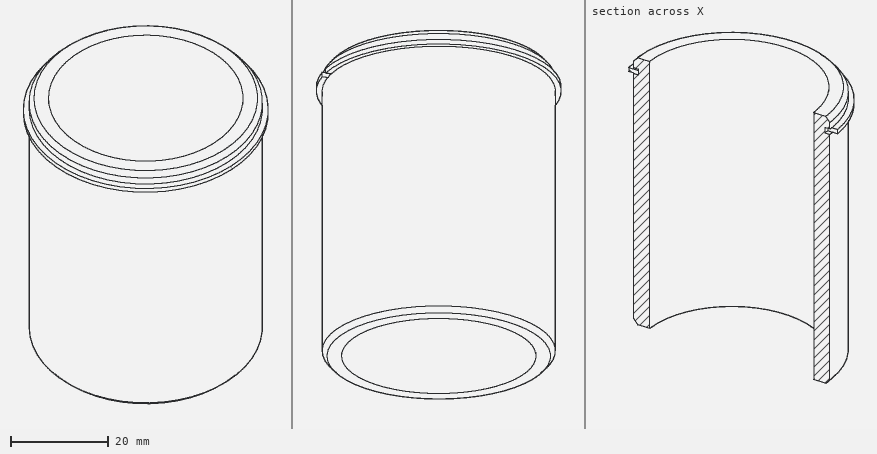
import cadquery as cq

sleeve_length = 63.0
sleeve_diameter = 48.0
bore_diameter = 40.0
chamfer_width = 1.0
chamfer_height = 1.15

ring_diameter = 50.4
ring_thickness = 1.0
ring_bottom = 59.0
ring_gap = 2.0

groove_clearance = 0.2
groove_width = ring_thickness + groove_clearance
groove_depth = (ring_diameter - sleeve_diameter) / 2
groove_diameter = sleeve_diameter - 2 * groove_depth


def annulus(outer_diameter, inner_diameter, bottom, height):
    """Flat-ended ring around the Z axis."""
    return (
        cq.Workplane("XY", origin=(0, 0, bottom))
        .circle(outer_diameter / 2)
        .circle(inner_diameter / 2)
        .extrude(height)
    )


def make_sleeve():
    """Tube with chamfered outer ends and a groove for the snap ring."""
    inner = bore_diameter / 2
    outer = sleeve_diameter / 2
    wall_section = (
        cq.Workplane("XZ")
        .moveTo(inner, 0)
        .lineTo(outer - chamfer_width, 0)
        .lineTo(outer, chamfer_height)
        .lineTo(outer, sleeve_length - chamfer_height)
        .lineTo(outer - chamfer_width, sleeve_length)
        .lineTo(inner, sleeve_length)
        .close()
    )
    tube = wall_section.revolve(360, (0, 0, 0), (0, 1, 0))
    groove = annulus(ring_diameter, groove_diameter, ring_bottom, groove_width)
    return tube.cut(groove)


def make_snap_ring():
    """Open ring seated on the groove floor, with a parallel-sided gap."""
    ring = annulus(ring_diameter, groove_diameter, ring_bottom, ring_thickness)
    gap = cq.Workplane("XY", origin=(0, 0, ring_bottom)).box(
        ring_gap, ring_diameter, ring_thickness, centered=(True, False, False)
    )
    return ring.cut(gap)


sleeve = make_sleeve()
snap_ring = make_snap_ring()

result = cq.Compound.makeCompound([sleeve.val(), snap_ring.val()])